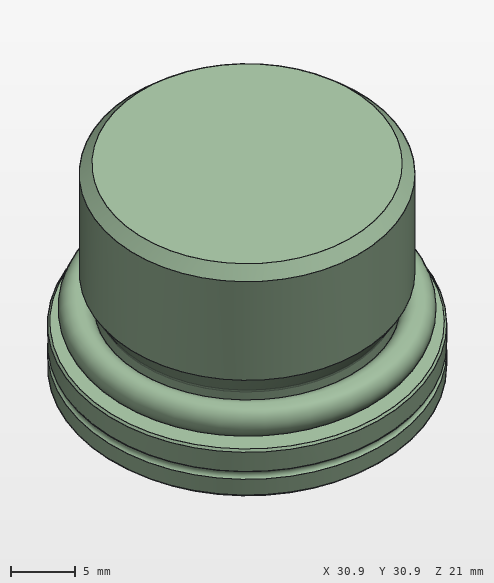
import cadquery as cq
import math

flange_radius = 30.9 / 2
plug_height = 21.0
flange_height = 5.0
head_radius = 26.0 / 2
neck_radius = 23.65 / 2

flange_bottom_chamfer = 0.5
flange_top_chamfer = 0.2
head_chamfer = 1.0

cone_base_height = 8.0
cone_half_angle = math.radians(30)
cone_height = (head_radius - neck_radius) / math.tan(cone_half_angle)
head_base_height = cone_base_height + cone_height
neck_fillet_radius = 0.5

fillet_tangent_length = neck_fillet_radius * math.tan(cone_half_angle / 2)
fillet_bottom_height = cone_base_height - fillet_tangent_length
fillet_middle = (
    neck_radius + neck_fillet_radius * (1 - math.cos(cone_half_angle / 2)),
    fillet_bottom_height + neck_fillet_radius * math.sin(cone_half_angle / 2),
)
fillet_top = (
    neck_radius + fillet_tangent_length * math.sin(cone_half_angle),
    cone_base_height + fillet_tangent_length * math.cos(cone_half_angle),
)

rim_groove_height = 2.47
rim_groove_width = 0.77
rim_groove_depth = 0.25

ring_section_radius = 2.8 / 2
ring_path_radius = neck_radius + ring_section_radius
ring_center_height = flange_height + ring_section_radius


def make_plug():
    """Flange, neck, cone and head as one revolved solid."""
    groove_half_width = rim_groove_width / 2
    return (
        cq.Workplane("XZ")
        .moveTo(0, 0)
        .lineTo(flange_radius - flange_bottom_chamfer, 0)
        .lineTo(flange_radius, flange_bottom_chamfer)
        .lineTo(flange_radius, rim_groove_height - groove_half_width)
        .threePointArc(
            (flange_radius - rim_groove_depth, rim_groove_height),
            (flange_radius, rim_groove_height + groove_half_width),
        )
        .lineTo(flange_radius, flange_height - flange_top_chamfer)
        .lineTo(flange_radius - flange_top_chamfer, flange_height)
        .lineTo(neck_radius, flange_height)
        .lineTo(neck_radius, fillet_bottom_height)
        .threePointArc(fillet_middle, fillet_top)
        .lineTo(head_radius, head_base_height)
        .lineTo(head_radius, plug_height - head_chamfer)
        .lineTo(head_radius - head_chamfer, plug_height)
        .lineTo(0, plug_height)
        .close()
        .revolve(360, (0, 0), (0, 1))
    )


def make_ring():
    """Ring of round section around the Z axis."""
    ring = cq.Solid.makeTorus(ring_path_radius, ring_section_radius)
    return ring.translate(cq.Vector(0, 0, ring_center_height))


plug = make_plug()
ring = make_ring()

result = cq.Compound.makeCompound([plug.val(), ring])